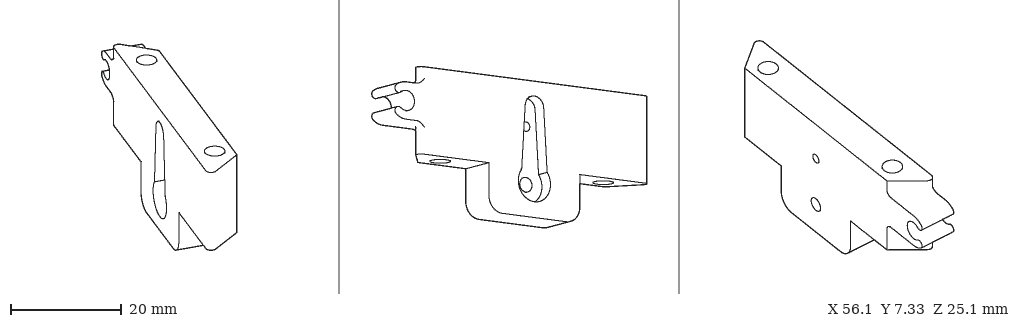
import math

import cadquery as cq


thickness = 7.33
bar_length = 50.6
bar_height = 16.1
end_bevel_angle = 38.0
end_radius = 1.0

screw_hole_diameter = 3.7
screw_hole_spacing = 36.0
screw_hole_y = 4.0

tab_width = 20.1
tab_depth = 9.0
tab_corner_radius = 3.0

horn_pocket_depth = 2.7
hub_radius = 3.55
hub_z = -2.55
hub_hole_diameter = 2.7
arm_end_radius = 2.05
arm_end_z = 11.3
arm_side_tilt = 3.7
arm_hole_diameter = 1.75
arm_hole_z = 8.15

clip_reach = 5.49
clip_z = 9.45
clip_outer_radius = 3.45
clip_bore_radius = 1.85
clip_mouth = 2.54
clip_root_fillet = 1.0

bar_end_x = bar_length / 2
round_center_x = bar_end_x - end_radius
bevel = math.radians(end_bevel_angle)
bevel_start_x = round_center_x + end_radius * math.cos(bevel)
bevel_start_y = end_radius + end_radius * math.sin(bevel)
back_half_length = bevel_start_x - (thickness - bevel_start_y) * math.tan(bevel)

tip_radius = (clip_outer_radius - clip_bore_radius) / 2
arm_middle_radius = (clip_outer_radius + clip_bore_radius) / 2
arm_end_angle = math.pi - math.asin((clip_mouth / 2 + tip_radius) / arm_middle_radius)
tip_overhang = tip_radius - arm_middle_radius * math.cos(arm_end_angle)
clip_x = -bar_end_x - clip_reach + tip_overhang


def along_y(z=0.0, x=0.0):
    """XZ sketch plane on the front face; extruding by a negative length goes into +Y."""
    return cq.Workplane("XZ", origin=(x, 0, z))


def make_bar():
    mid_angle = (bevel - math.pi / 2) / 2
    mid_x = round_center_x + end_radius * math.cos(mid_angle)
    mid_y = end_radius + end_radius * math.sin(mid_angle)
    return (
        cq.Workplane("XY")
        .moveTo(-round_center_x, 0)
        .lineTo(round_center_x, 0)
        .threePointArc((mid_x, mid_y), (bevel_start_x, bevel_start_y))
        .lineTo(back_half_length, thickness)
        .lineTo(-back_half_length, thickness)
        .lineTo(-bevel_start_x, bevel_start_y)
        .threePointArc((-mid_x, mid_y), (-round_center_x, 0))
        .close()
        .extrude(bar_height)
    )


def make_tab():
    return (
        along_y()
        .rect(tab_width, 2 * tab_depth)
        .extrude(-thickness)
        .edges("|Y and <Z")
        .fillet(tab_corner_radius)
    )


def front_to_back_slab():
    """Block larger than the part in X and Z that spans exactly its thickness."""
    span = 2 * (bar_length + clip_reach)
    return along_y().rect(span, span).extrude(-thickness)


def make_clip():
    """C-shaped clip whose two arms end in full rounds, drawn about the bore axis."""
    upper_outer = polar(clip_outer_radius, arm_end_angle)
    upper_inner = polar(clip_bore_radius, arm_end_angle)
    upper_tip = polar(arm_middle_radius, arm_end_angle, tip_radius)
    shoulder = polar(clip_outer_radius, (arm_end_angle + math.pi / 2) / 2)
    root_x = -back_half_length - clip_x
    return (
        along_y(clip_z, clip_x)
        .moveTo(root_x, clip_outer_radius)
        .lineTo(0, clip_outer_radius)
        .threePointArc(shoulder, upper_outer)
        .threePointArc(upper_tip, upper_inner)
        .threePointArc((clip_bore_radius, 0), mirrored(upper_inner))
        .threePointArc(mirrored(upper_tip), mirrored(upper_outer))
        .threePointArc(mirrored(shoulder), (0, -clip_outer_radius))
        .lineTo(root_x, -clip_outer_radius)
        .close()
        .extrude(-thickness)
    )


def polar(radius, angle, sideways=0.0):
    """Point at a radius and angle, moved sideways toward larger angles."""
    x = radius * math.cos(angle) - sideways * math.sin(angle)
    z = radius * math.sin(angle) + sideways * math.cos(angle)
    return x, z


def mirrored(point):
    return point[0], -point[1]


def root_fillet_section(plane):
    """Concave fillet section; local x runs outward from the axis of the rounded bar end."""
    outer = end_radius + clip_root_fillet
    sag = clip_root_fillet * (1 - math.sqrt(0.5))
    return (
        plane.lineTo(outer, 0)
        .threePointArc((end_radius + sag, sag), (end_radius, clip_root_fillet))
        .lineTo(0, clip_root_fillet)
        .close()
    )


def make_root_fillet():
    """Fillet on top of the clip, following the rounded end and then the bevel."""
    origin = (-round_center_x, end_radius, clip_z + clip_outer_radius)
    outward = (-math.cos(bevel), math.sin(bevel), 0)
    along_bevel = (math.sin(bevel), math.cos(bevel), 0)
    plane = cq.Plane(origin=origin, xDir=outward, normal=along_bevel)
    ring = root_fillet_section(cq.Workplane(plane)).revolve(360, (0, 0, 0), (0, 1, 0))
    straight = root_fillet_section(cq.Workplane(plane)).extrude(2 * thickness)
    return ring.union(straight).intersect(front_to_back_slab())


def make_horn_pocket():
    tilt = math.radians(arm_side_tilt)
    tip_half_width = arm_end_radius * math.cos(tilt)
    tip_z = arm_end_z + arm_end_radius * math.sin(tilt)
    hub_half_width = tip_half_width + (tip_z - hub_z) * math.tan(tilt)
    arm = (
        along_y()
        .moveTo(-hub_half_width, hub_z)
        .lineTo(-tip_half_width, tip_z)
        .threePointArc((0, arm_end_z + arm_end_radius), (tip_half_width, tip_z))
        .lineTo(hub_half_width, hub_z)
        .close()
        .extrude(-horn_pocket_depth)
    )
    hub = along_y(hub_z).circle(hub_radius).extrude(-horn_pocket_depth)
    return arm.union(hub)


def make_horn_holes():
    hub_hole = along_y(hub_z).circle(hub_hole_diameter / 2).extrude(-thickness)
    arm_hole = along_y(arm_hole_z).circle(arm_hole_diameter / 2).extrude(-thickness)
    return hub_hole.union(arm_hole)


def make_screw_holes():
    return (
        cq.Workplane("XY")
        .pushPoints([(side * screw_hole_spacing / 2, screw_hole_y) for side in (-1, 1)])
        .circle(screw_hole_diameter / 2)
        .extrude(bar_height)
    )


top_fillet = make_root_fillet()
bottom_fillet = top_fillet.mirror("XY", (0, 0, clip_z))

result = (
    make_bar()
    .union(make_tab())
    .union(make_clip())
    .union(top_fillet)
    .union(bottom_fillet)
    .cut(make_horn_pocket())
    .cut(make_horn_holes())
    .cut(make_screw_holes())
)